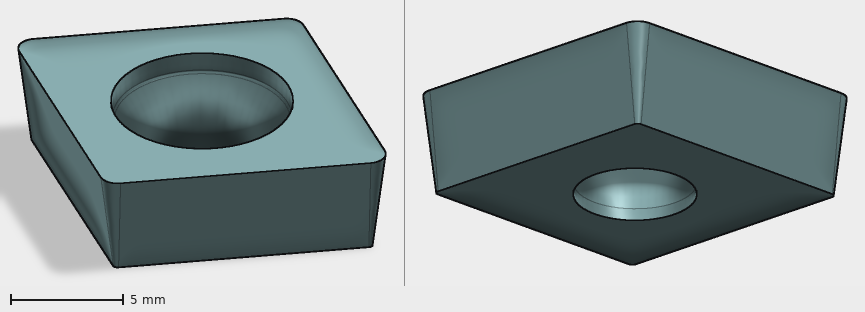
import cadquery as cq
import math

overall_length = 14.83
thickness = 4.76
corner_angle = 80
corner_radius = 0.8
clearance_angle = 7

bore_diameter = 5.5
recess_diameter = 8.11
recess_depth = 0.83
recess_wall_angle = 4
lip_width = 0.07
lip_drop = 0.15
seat_depth = 4.18


def insert_body():
    """Rounded rhombus tapering downward from the top face."""
    half_corner_tangent = math.tan(math.radians(corner_angle / 2))
    rounding_loss = corner_radius * (1 / half_corner_tangent - 1)
    sharp_length = overall_length + 2 * rounding_loss
    half_height = sharp_length * half_corner_tangent / 2
    half_side = half_height / math.sin(math.radians(corner_angle))
    lean = half_height / math.tan(math.radians(corner_angle))
    outline = [
        (-half_side - lean, -half_height),
        (half_side - lean, -half_height),
        (half_side + lean, half_height),
        (-half_side + lean, half_height),
    ]
    rhombus = cq.Sketch().polygon(outline + outline[:1]).vertices().fillet(corner_radius)
    return (
        cq.Workplane("XY")
        .workplane(offset=thickness)
        .placeSketch(rhombus)
        .extrude(-thickness, taper=clearance_angle)
    )


def screw_hole():
    """Slightly tapered recess, narrow concave lip and a convex seat running tangent into the bore."""
    bore_radius = bore_diameter / 2
    recess_radius = recess_diameter / 2
    recess_floor_radius = recess_radius - recess_depth * math.tan(math.radians(recess_wall_angle))
    recess_floor = thickness - recess_depth
    seat_top_radius = recess_floor_radius - lip_width
    seat_top = recess_floor - lip_drop
    seat_bottom = thickness - seat_depth

    seat_width = seat_top_radius - bore_radius
    seat_height = seat_top - seat_bottom
    seat_radius = (seat_width**2 + seat_height**2) / (2 * seat_width)
    half_sweep = math.asin(seat_height / seat_radius) / 2
    seat_middle = (
        bore_radius + seat_radius * (1 - math.cos(half_sweep)),
        seat_bottom + seat_radius * math.sin(half_sweep),
    )

    return (
        cq.Workplane("XZ")
        .moveTo(0, thickness)
        .lineTo(recess_radius, thickness)
        .lineTo(recess_floor_radius, recess_floor)
        .tangentArcPoint((seat_top_radius, seat_top), relative=False)
        .threePointArc(seat_middle, (bore_radius, seat_bottom))
        .lineTo(bore_radius, 0)
        .lineTo(0, 0)
        .close()
        .revolve(360, (0, 0), (0, 1))
    )


result = insert_body().cut(screw_hole())